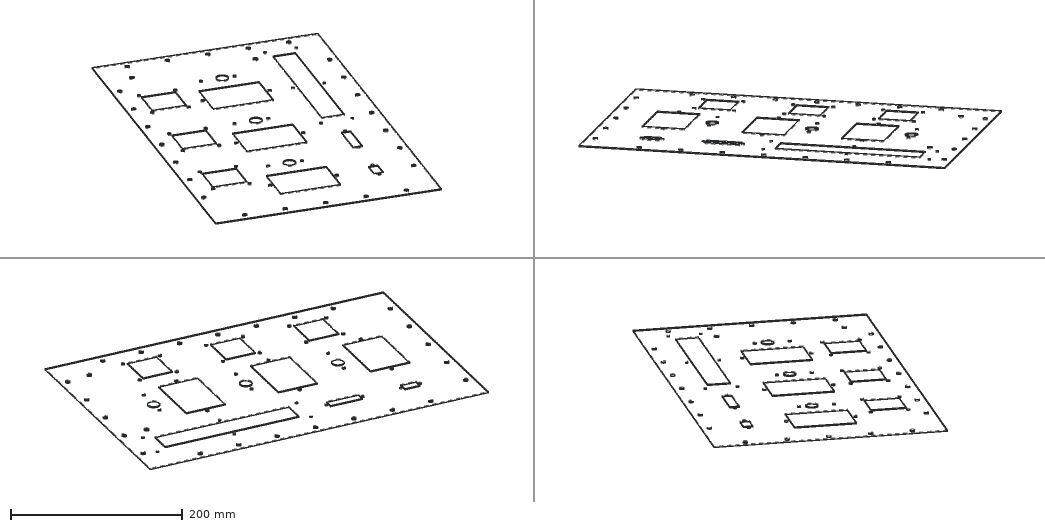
import cadquery as cq

LENGTH = 440.0
WIDTH = 279.5
THICKNESS = 1.6

BORDER_HOLE_DIA = 5.5
BORDER_ROW_LENGTH = 300.0
BORDER_ROW_Y = 130.0
BORDER_COLUMN_X = 210.0
ROW_STEPS = range(-3, 4)
COLUMN_STEPS = range(-2, 3)
BORDER_PITCH = BORDER_ROW_LENGTH / (len(ROW_STEPS) - 1)

SUPPORT_HOLE_DIA = 5.5
SUPPORT_X = -180.0
SUPPORT_YS = (48.5, -104.5)

DISPLAY_CENTER = (-93.0, 84.0)
DISPLAY_SIZE = (174.2, 27.5)
DISPLAY_SCREW_DIA = 3.12
DISPLAY_SCREW_PITCH = 100.0
DISPLAY_SCREW_ROW_SPACING = 38.5

CONNECTOR_Y = 84.5
CONNECTOR_HEIGHT = 11.5
CONNECTOR_SCREW_DIA = 3.4
CONNECTORS = (
    (60.0, 42.0, 47.5),
    (145.5, 20.0, 25.0),
)

FIRST_METER_X = -95.0
METER_ROW_LENGTH = 240.0
METER_XS = [FIRST_METER_X + i * METER_ROW_LENGTH / 2 for i in range(3)]
METER_Y = -5.0
METER_SIZE = (51.0, 74.5)
METER_SCREW_DIA = 4.0
METER_SCREW_SPACING = 82.5

SWITCH_TO_METER = 49.5
SWITCH_HOLE_DIA = 15.0
SWITCH_PIN_DIA = 3.7
SWITCH_PIN_OFFSETS = (15.5, -26.5)

SOCKET_PITCH = 108.2
SOCKET_Y = -89.8
SOCKET_SIZE = (38.5, 42.2)
SOCKET_SCREW_DIA = 4.0
SOCKET_SCREW_SPACING = (48.0, 45.0)


def cut_round(panel, points, diameter):
    """Drill through holes of one diameter at the given points."""
    tool = cq.Workplane("XY").pushPoints(points).circle(diameter / 2).extrude(THICKNESS)
    return panel.cut(tool)


def cut_windows(panel, points, size):
    """Cut equal rectangular windows at the given centres."""
    tool = cq.Workplane("XY").pushPoints(points).rect(*size).extrude(THICKNESS)
    return panel.cut(tool)


def cut_border_holes(panel):
    rows = [(i * BORDER_PITCH, side * BORDER_ROW_Y) for side in (-1, 1) for i in ROW_STEPS]
    columns = [(side * BORDER_COLUMN_X, i * BORDER_PITCH) for side in (-1, 1) for i in COLUMN_STEPS]
    return cut_round(panel, rows + columns, BORDER_HOLE_DIA)


def cut_support_holes(panel):
    return cut_round(panel, [(SUPPORT_X, y) for y in SUPPORT_YS], SUPPORT_HOLE_DIA)


def cut_display(panel):
    x, y = DISPLAY_CENTER
    screws = [
        (x + column * DISPLAY_SCREW_PITCH, y + side * DISPLAY_SCREW_ROW_SPACING / 2)
        for column in (-1, 0, 1)
        for side in (-1, 1)
    ]
    panel = cut_windows(panel, [DISPLAY_CENTER], DISPLAY_SIZE)
    return cut_round(panel, screws, DISPLAY_SCREW_DIA)


def cut_connectors(panel):
    for x, length, spacing in CONNECTORS:
        screws = [(x + side * spacing / 2, CONNECTOR_Y) for side in (-1, 1)]
        panel = cut_windows(panel, [(x, CONNECTOR_Y)], (length, CONNECTOR_HEIGHT))
        panel = cut_round(panel, screws, CONNECTOR_SCREW_DIA)
    return panel


def cut_meters(panel):
    centers = [(x, METER_Y) for x in METER_XS]
    screws = [(x, y + side * METER_SCREW_SPACING / 2) for x, y in centers for side in (-1, 1)]
    panel = cut_windows(panel, centers, METER_SIZE)
    return cut_round(panel, screws, METER_SCREW_DIA)


def cut_switches(panel):
    centers = [(x - SWITCH_TO_METER, METER_Y) for x in METER_XS]
    pins = [(x, y + offset) for x, y in centers for offset in SWITCH_PIN_OFFSETS]
    panel = cut_round(panel, centers, SWITCH_HOLE_DIA)
    return cut_round(panel, pins, SWITCH_PIN_DIA)


def cut_sockets(panel):
    centers = [(i * SOCKET_PITCH, SOCKET_Y) for i in (-1, 0, 1)]
    spacing_x, spacing_y = SOCKET_SCREW_SPACING
    screws = [
        (x + side_x * spacing_x / 2, y + side_y * spacing_y / 2)
        for x, y in centers
        for side_x in (-1, 1)
        for side_y in (-1, 1)
    ]
    panel = cut_windows(panel, centers, SOCKET_SIZE)
    return cut_round(panel, screws, SOCKET_SCREW_DIA)


panel = cq.Workplane("XY").box(LENGTH, WIDTH, THICKNESS, centered=(True, True, False))
panel = cut_border_holes(panel)
panel = cut_support_holes(panel)
panel = cut_display(panel)
panel = cut_connectors(panel)
panel = cut_meters(panel)
panel = cut_switches(panel)
result = cut_sockets(panel)